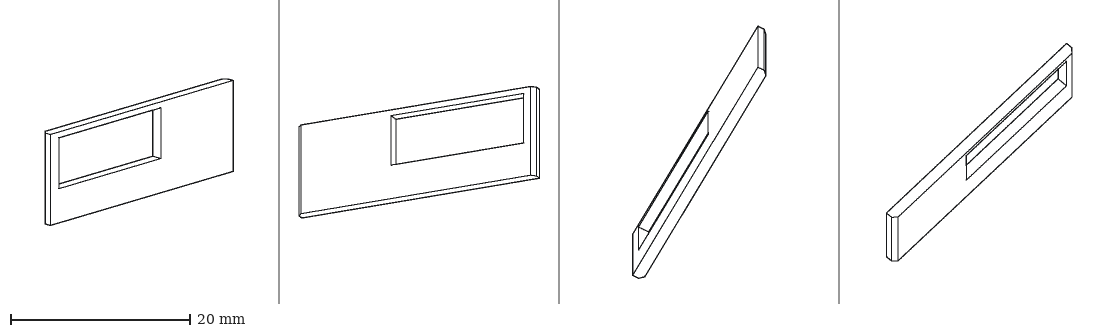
import cadquery as cq

thickness = 1.3
length = 29.3
height = 10.6

chamfer_depth = 0.5
chamfer_along_length = 0.5

window_length = 16.3
window_height = 5.9
window_end_margin = 1.4
window_top_margin = 0.7


def make_plate():
    """Flat plate whose -X face is bevelled at both ends."""
    front_x = -thickness / 2
    back_x = thickness / 2
    end_y = length / 2
    bevel_x = front_x + chamfer_depth
    bevel_y = end_y - chamfer_along_length
    outline = [
        (back_x, -end_y),
        (back_x, end_y),
        (bevel_x, end_y),
        (front_x, bevel_y),
        (front_x, -bevel_y),
        (bevel_x, -end_y),
    ]
    return (
        cq.Workplane("XY")
        .workplane(offset=-height / 2)
        .polyline(outline)
        .close()
        .extrude(height)
    )


def make_window():
    """Cutter for the window, near the -Y end and the top edge."""
    center_y = -length / 2 + window_end_margin + window_length / 2
    center_z = height / 2 - window_top_margin - window_height / 2
    return (
        cq.Workplane("XY")
        .box(2 * thickness, window_length, window_height)
        .translate((0, center_y, center_z))
    )


result = make_plate().cut(make_window())